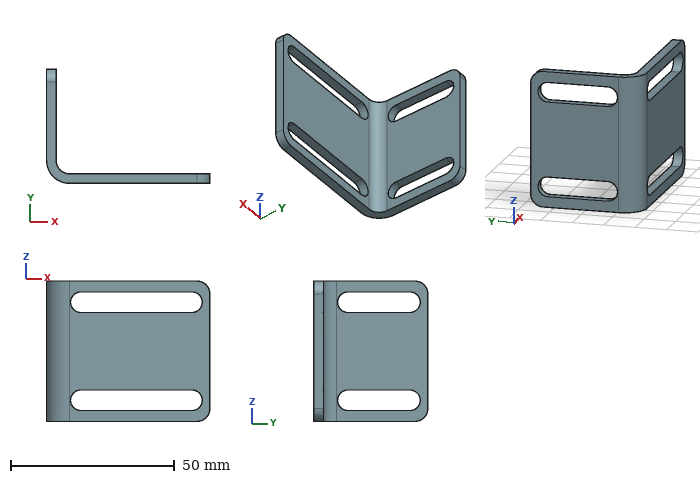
import cadquery as cq

length_x = 50.0
length_y = 35.0
height = 43.0
thickness = 3.0

inner_bend_radius = 4.0
outer_bend_radius = inner_bend_radius + thickness
corner_radius = 4.0

slot_width = 6.2
slot_spacing = 30.0
slot_bend_gap = 0.4
slot_edge_margin = 2.4
slot_start = outer_bend_radius + slot_bend_gap


def make_bent_plate():
    """L-shaped sheet standing on Z = 0, with its outer faces on X = 0 and Y = 0."""
    plate = (
        cq.Workplane("XY")
        .polyline([
            (0, 0),
            (length_x, 0),
            (length_x, thickness),
            (thickness, thickness),
            (thickness, length_y),
            (0, length_y),
        ])
        .close()
        .extrude(height)
    )
    plate = plate.edges("|Z").edges(
        cq.selectors.NearestToPointSelector((0, 0, height / 2))
    ).fillet(outer_bend_radius)
    return plate.edges("|Z").edges(
        cq.selectors.NearestToPointSelector((thickness, thickness, height / 2))
    ).fillet(inner_bend_radius)


def round_free_corners(plate):
    """Round the top and bottom corners at the free end of each leg."""
    plate = plate.faces(">X").edges("|Y").fillet(corner_radius)
    return plate.faces(">Y").edges("|X").fillet(corner_radius)


def make_slot_pair(plane, leg_length, cut_depth):
    """Two horizontal slots; cut_depth is signed along the normal of the plane."""
    slot_end = leg_length - slot_edge_margin
    slot_center = (slot_start + slot_end) / 2
    slot_heights = [height / 2 + side * slot_spacing / 2 for side in (-1, 1)]
    return (
        cq.Workplane(plane)
        .pushPoints([(slot_center, slot_height) for slot_height in slot_heights])
        .slot2D(slot_end - slot_start, slot_width)
        .extrude(cut_depth)
    )


bracket = round_free_corners(make_bent_plate())
bracket = bracket.cut(make_slot_pair("XZ", length_x, -thickness))
bracket = bracket.cut(make_slot_pair("YZ", length_y, thickness))

result = bracket